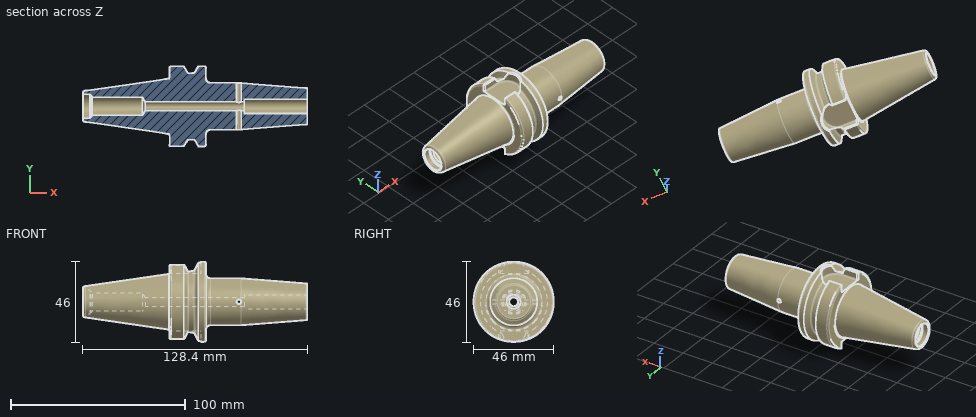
import cadquery as cq
import math


gauge_radius = 31.75 / 2
taper_length = 48.4
taper_slope = 7 / 48
shank_end_fillet = 1.5

flange_radius = 23.0
flange_front = 1.0
flange_back = 22.0
rim_fillet = 1.0
flange_root_fillet = 0.5

groove_center = 13.5
groove_bottom_radius = 19.15
groove_bottom_width = 3.7
groove_flank_angle = 30.0
groove_fillet = 0.5

slot_width = 16.0
slot_end = 18.95
slot_floor = 16.4
slot_chamfer = 0.75
slot_floor_fillet = 0.5

nose_end = 80.0
nose_tip_radius = 10.5
nose_body_radius = 13.5
nose_taper_angle = 4.5
nose_root_fillet = 2.5
nose_tip_fillet = 1.0

counterbore_radius = 6.75
counterbore_depth = 4.0
mouth_chamfer = 0.3
thread_radius = 5.1
thread_chamfer = 1.0
thread_entry_length = 0.5
thread_depth = 34.0
drill_tip_angle = 59.0
through_radius = 2.5
tool_bore_radius = 4.0
tool_bore_depth = 36.0

cross_hole_radius = 1.25
cross_hole_x = 40.8

shank_end = -taper_length
shank_end_radius = gauge_radius - taper_length * taper_slope
flange_root_radius = gauge_radius + flange_front * taper_slope
groove_left = groove_center - groove_bottom_width / 2
groove_right = groove_center + groove_bottom_width / 2
groove_flank_run = (flange_radius - groove_bottom_radius) * math.tan(math.radians(groove_flank_angle))
nose_taper_run = (nose_body_radius - nose_tip_radius) / math.tan(math.radians(nose_taper_angle))
nose_taper_start = nose_end - nose_taper_run


def revolve_about_x(points):
    """Solid of revolution about X from (x, radius) points."""
    return cq.Workplane("XZ").polyline(points).close().revolve(360, (0, 0, 0), (1, 0, 0))


def fillet_ring(body, x, ring_radius, fillet_radius):
    """Fillet the circular edge of the given radius centred on the axis at x."""
    half_box = 0.01
    ring = cq.selectors.BoxSelector(
        (x - half_box, -ring_radius - half_box, -ring_radius - half_box),
        (x + half_box, ring_radius + half_box, ring_radius + half_box),
        boundingbox=True,
    )
    largest = cq.selectors.RadiusNthSelector(-1)
    return body.edges(ring).edges(largest).fillet(fillet_radius)


def turned_body():
    body = revolve_about_x([
        (shank_end, 0),
        (shank_end, shank_end_radius),
        (flange_front, flange_root_radius),
        (flange_front, flange_radius),
        (groove_left - groove_flank_run, flange_radius),
        (groove_left, groove_bottom_radius),
        (groove_right, groove_bottom_radius),
        (groove_right + groove_flank_run, flange_radius),
        (flange_back, flange_radius),
        (flange_back, nose_body_radius),
        (nose_taper_start, nose_body_radius),
        (nose_end, nose_tip_radius),
        (nose_end, 0),
    ])
    ring_fillets = [
        (shank_end, shank_end_radius, shank_end_fillet),
        (flange_front, flange_root_radius, flange_root_fillet),
        (flange_front, flange_radius, rim_fillet),
        (groove_left, groove_bottom_radius, groove_fillet),
        (groove_right, groove_bottom_radius, groove_fillet),
        (flange_back, flange_radius, rim_fillet),
        (flange_back, nose_body_radius, nose_root_fillet),
        (nose_end, nose_tip_radius, nose_tip_fillet),
    ]
    for x, ring_radius, fillet_radius in ring_fillets:
        body = fillet_ring(body, x, ring_radius, fillet_radius)
    return body


def flange_box(x_max, z_min, z_max):
    """Selector for edges lying fully inside a slot-wide box that starts at the flange front."""
    margin = 0.1
    half_width = slot_width / 2 + slot_chamfer + margin
    return cq.selectors.BoxSelector(
        (flange_front - margin, -half_width, z_min - margin),
        (x_max + margin, half_width, z_max + margin),
        boundingbox=True,
    )


def drive_slot():
    """Space cut away by the +Z drive slot, with chamfered edges and a filleted floor."""
    half_width = slot_width / 2
    arc_center = slot_end - half_width
    blank = (
        cq.Workplane("YZ", origin=(flange_front, 0, 0))
        .circle(flange_radius)
        .extrude(flange_back - flange_front)
    )
    cutter = (
        cq.Workplane("XY", origin=(0, 0, slot_floor))
        .moveTo(0, -half_width)
        .lineTo(arc_center, -half_width)
        .threePointArc((slot_end, 0), (arc_center, half_width))
        .lineTo(0, half_width)
        .close()
        .extrude(flange_radius)
    )
    wall_top = math.sqrt(flange_radius**2 - half_width**2)
    rim_edges = flange_box(slot_end, wall_top, flange_radius)
    along_y = cq.selectors.StringSyntaxSelector("|Y")
    front_edges = flange_box(flange_front, slot_floor, flange_radius) - along_y
    floor_edges = flange_box(slot_end, slot_floor, slot_floor) - along_y
    slotted = blank.cut(cutter)
    slotted = slotted.edges(rim_edges + front_edges).chamfer(slot_chamfer)
    slotted = slotted.edges(floor_edges).fillet(slot_floor_fillet)
    return blank.cut(slotted)


def axial_bores():
    """Pull-stud bore from the shank end, through hole and tool bore from the nose."""
    counterbore_end = shank_end + counterbore_depth
    thread_start = counterbore_end + thread_entry_length
    thread_end = shank_end + thread_depth
    tip_length = (thread_radius - through_radius) / math.tan(math.radians(drill_tip_angle))
    tool_bore_start = nose_end - tool_bore_depth
    return revolve_about_x([
        (shank_end, 0),
        (shank_end, counterbore_radius + mouth_chamfer),
        (shank_end + mouth_chamfer, counterbore_radius),
        (counterbore_end, counterbore_radius),
        (counterbore_end, thread_radius + thread_chamfer),
        (thread_start, thread_radius + thread_chamfer),
        (thread_start + thread_chamfer, thread_radius),
        (thread_end, thread_radius),
        (thread_end + tip_length, through_radius),
        (tool_bore_start, through_radius),
        (tool_bore_start, tool_bore_radius),
        (nose_end, tool_bore_radius),
        (nose_end, 0),
    ])


def cross_hole():
    return (
        cq.Workplane("XZ", origin=(cross_hole_x, 0, 0))
        .circle(cross_hole_radius)
        .extrude(nose_body_radius, both=True)
    )


result = turned_body()
for slot_angle in (0, 180):
    result = result.cut(drive_slot().rotate((0, 0, 0), (1, 0, 0), slot_angle))
result = result.cut(axial_bores()).cut(cross_hole())